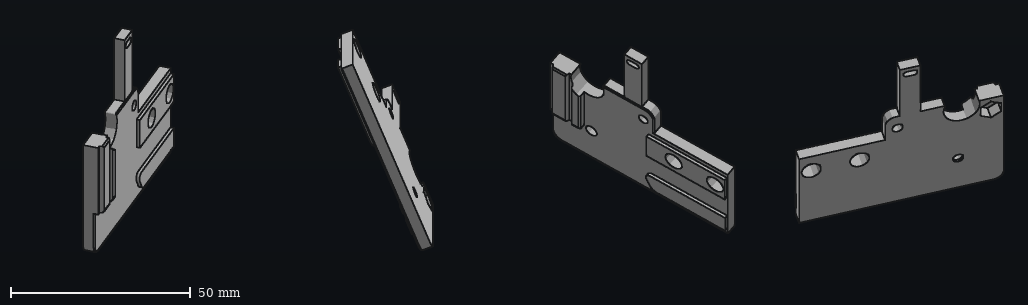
import cadquery as cq
import math

plate_length = 59.3
plate_thickness = 3.5
wing_height = 27.6
step_y = 34.4
step_height = 36.6
front_height = 35.45
corner_radius = 3.0
edge_chamfer = 0.35

arm_thickness = 3.2
arm_start_y = 24.15
arm_width = 6.0
arm_top = 56.5
slot_length = 4.05
slot_width = 2.0
slot_y = 27.05
slot_z = 54.0

notch_radius = 5.2
notch_y = 12.2
notch_z = 34.05
notch_tip_radius = 0.4

pad_width = 10.8
pad_bottom = 13.75
pad_floor_x = 4.5
ridge_top_x = 5.75
pad_chamfer = 0.5
ridge_slope_width = 0.5
ridge_edge_y = 1.05
groove_start_y = 6.45
groove_end_y = 7.6

nut_flats = 6.0
nut_depth = 3.55
nut_y = 3.75
nut_z = 30.55

large_hole_diameter = 5.6
large_hole_z = 21.5
large_holes = [(55.75, large_hole_z), (41.75, large_hole_z)]
small_hole_diameter = 3.0
step_hole = (30.8, 31.6)
screw_hole = (13.2, 12.7)
counterbore_diameter = 3.7
counterbore_lip = 0.8

panel_start_y = 32.55
panel_end_y = 59.0
panel_height = 9.0

bar_start_y = 32.3
bar_end_y = 59.1
bar_bottom = 2.5
bar_top = 8.5
bar_upper_radius = 1.55
bar_lower_radius = 2.7
bar_lean = 28.0


def sketch_plane(x):
    """Plane whose local axes are the part's Y and Z, facing +X."""
    return cq.Workplane("YZ", origin=(x, 0, 0))


def block(x0, x1, y0, y1, z0, z1):
    return cq.Workplane("XY").box(x1 - x0, y1 - y0, z1 - z0, centered=False).translate((x0, y0, z0))


def round_hole(center, diameter, x_start=0.0):
    """Cutter running along X from x_start out through the +X side."""
    depth = ridge_top_x - x_start
    return sketch_plane(x_start).center(*center).circle(diameter / 2).extrude(depth)


def make_plate():
    plate = (
        sketch_plane(0)
        .polyline([
            (0, 0),
            (plate_length, 0),
            (plate_length, wing_height),
            (step_y, wing_height),
            (step_y, step_height),
            (notch_y, step_height),
            (notch_y, front_height),
            (0, front_height),
        ])
        .close()
        .extrude(plate_thickness)
    )
    for y, z in [(0, 0), (step_y, step_height)]:
        corner = cq.selectors.NearestToPointSelector((plate_thickness / 2, y, z))
        plate = plate.edges("|X").edges(corner).fillet(corner_radius)

    rounded_middle = corner_radius * (1 - math.sqrt(0.5))
    rim = plate.newObject([])
    rim_points = [
        (plate_length / 2, 0),
        (rounded_middle, rounded_middle),
        (0, front_height / 2),
        (step_y, (wing_height + step_height - corner_radius) / 2),
        (step_y - rounded_middle, step_height - rounded_middle),
        ((notch_y + step_y - corner_radius) / 2, step_height),
    ]
    for y, z in rim_points:
        rim = rim.add(plate.edges(cq.selectors.NearestToPointSelector((plate_thickness, y, z))))
    return rim.chamfer(edge_chamfer)


def make_arm():
    arm = block(0, arm_thickness, arm_start_y, arm_start_y + arm_width, wing_height, arm_top)
    slot = sketch_plane(0).center(slot_y, slot_z).slot2D(slot_length, slot_width).extrude(arm_thickness)
    return arm.cut(slot)


def make_pad():
    pad = block(0, ridge_top_x, 0, pad_width, pad_bottom, front_height)
    pad = pad.faces(">X").edges("not <Y").chamfer(pad_chamfer)
    edge_cut = [
        (pad_floor_x, 0),
        (pad_floor_x, ridge_edge_y),
        (ridge_top_x, ridge_edge_y + ridge_slope_width),
        (ridge_top_x, 0),
    ]
    groove = [
        (pad_floor_x, groove_start_y),
        (pad_floor_x, groove_end_y),
        (ridge_top_x, groove_end_y + ridge_slope_width),
        (ridge_top_x, groove_start_y - ridge_slope_width),
    ]
    for profile in (edge_cut, groove):
        pad = pad.cut(cq.Workplane("XY").polyline(profile).close().extrude(step_height))
    return pad


def make_panel():
    bottom = large_hole_z - panel_height / 2
    top = large_hole_z + panel_height / 2
    return block(0, pad_floor_x, panel_start_y, panel_end_y, bottom, top)


def make_bar():
    lean = math.radians(bar_lean)
    upper_y = bar_start_y + bar_upper_radius
    upper_z = bar_top - bar_upper_radius
    lower_z = bar_bottom + bar_lower_radius
    tangent_top_y = upper_y - bar_upper_radius * math.cos(lean)
    tangent_top_z = upper_z - bar_upper_radius * math.sin(lean)
    tangent_low_z = lower_z - bar_lower_radius * math.sin(lean)
    tangent_low_y = tangent_top_y + (tangent_top_z - tangent_low_z) * math.tan(lean)
    lower_y = tangent_low_y + bar_lower_radius * math.cos(lean)
    return (
        sketch_plane(plate_thickness / 2)
        .moveTo(bar_end_y, bar_top)
        .lineTo(upper_y, bar_top)
        .threePointArc((bar_start_y, upper_z), (tangent_top_y, tangent_top_z))
        .lineTo(tangent_low_y, tangent_low_z)
        .tangentArcPoint((lower_y, bar_bottom), relative=False)
        .lineTo(bar_end_y, bar_bottom)
        .close()
        .extrude(pad_floor_x - plate_thickness / 2)
    )


def cut_notch(body):
    return body.cut(round_hole((notch_y, notch_z), 2 * notch_radius))


def round_notch_tip(body):
    tip_reach = math.sqrt(notch_radius**2 - (step_height - notch_z) ** 2)
    tip_point = (plate_thickness / 2, notch_y + tip_reach, step_height)
    tip = cq.selectors.NearestToPointSelector(tip_point)
    return body.edges("|X").edges(tip).fillet(notch_tip_radius)


def cut_holes(body):
    for center in large_holes:
        body = body.cut(round_hole(center, large_hole_diameter))
    for center in (step_hole, screw_hole):
        body = body.cut(round_hole(center, small_hole_diameter))
    return body.cut(round_hole(screw_hole, counterbore_diameter, counterbore_lip))


def make_nut_pocket():
    corner_distance = nut_flats / math.cos(math.pi / 6)
    hexagon = sketch_plane(0).center(nut_y, nut_z).transformed(rotate=(0, 0, 90))
    return hexagon.polygon(6, corner_distance).extrude(nut_depth)


result = round_notch_tip(cut_notch(make_plate()))
result = result.union(make_arm())
result = result.union(cut_notch(make_pad()))
result = result.union(make_panel())
result = result.union(make_bar())
result = cut_holes(result).cut(make_nut_pocket())